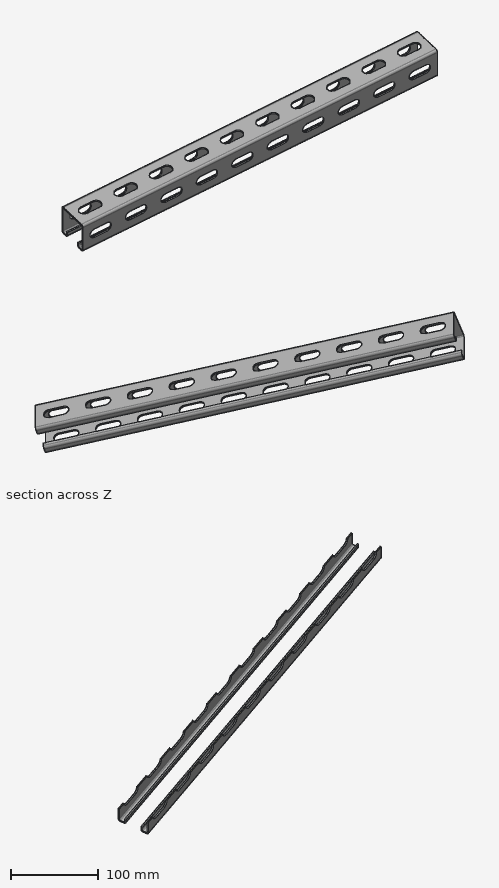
import cadquery as cq
import math

length = 500.0
width = 41.0
height = 41.0

sheet = 2.0
bend_outer = 3.0
bend_inner = bend_outer - sheet

mouth_width = 20.0
lip_height = 7.0

slot_count = 10
slot_length = 30.0
slot_width = 13.0
slot_pitch = length / slot_count

cut_margin = 5.0


def rounded_bar(bar_width, bar_height, radius):
    """Full-length bar centred on the origin with its long edges rounded."""
    return cq.Workplane("XY").box(bar_width, length, bar_height).edges("|Y").fillet(radius)


def lip(side):
    """Strip along one side of the mouth, turning from the underside up to a free edge."""
    underside = -height / 2
    lip_top = underside + lip_height
    mouth_face = side * mouth_width / 2
    hidden_face = mouth_face + side * sheet
    bend_x = mouth_face + side * bend_outer
    bend_z = underside + bend_outer

    def bend_middle(radius):
        offset = radius * math.sqrt(0.5)
        return (bend_x - side * offset, bend_z - offset)

    return (
        cq.Workplane("XZ", origin=(0, length / 2, 0))
        .moveTo(bend_x, underside)
        .threePointArc(bend_middle(bend_outer), (mouth_face, bend_z))
        .lineTo(mouth_face, lip_top)
        .lineTo(hidden_face, lip_top)
        .lineTo(hidden_face, bend_z)
        .threePointArc(bend_middle(bend_inner), (bend_x, underside + sheet))
        .close()
        .extrude(length)
    )


def channel():
    """Bent sheet channel: a rounded tube opened underneath, with a lip on each side."""
    outside = rounded_bar(width, height, bend_outer)
    inside = rounded_bar(width - 2 * sheet, height - 2 * sheet, bend_inner)
    opening_width = mouth_width + 2 * bend_outer
    opening = cq.Workplane("XY", origin=(0, 0, -height / 2)).box(opening_width, length, height / 2)
    return outside.cut(inside).cut(opening).union(lip(-1)).union(lip(1))


def slot_row(normal, depth, both_ways=False):
    """Row of slot cutters lying along Y, reaching from the channel axis along the normal."""
    plane = cq.Plane(origin=(0, 0, 0), xDir=(0, 1, 0), normal=normal)
    return (
        cq.Workplane(plane)
        .rarray(slot_pitch, slot_pitch, slot_count, 1)
        .slot2D(slot_length, slot_width)
        .extrude(depth, both=both_ways)
    )


top_slots = slot_row((0, 0, 1), height / 2 + cut_margin)
side_slots = slot_row((1, 0, 0), width / 2 + cut_margin, both_ways=True)

result = channel().cut(top_slots).cut(side_slots)